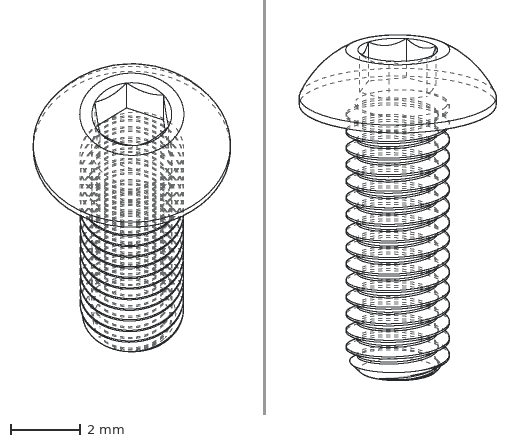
import cadquery as cq
import math

total_length = 9.65

head_radius = 5.7 / 2
head_height = 1.65
rim_height = 0.23
top_flat_radius = 1.51
dome_radius = 2.99

socket_width = 2.0
socket_depth = 1.18
socket_corner_radius = socket_width / math.sqrt(3)

shank_length = total_length - head_height
thread_turns = 16
pitch = shank_length / thread_turns
thread_radius = 1.5
crest_width = pitch / 8
root_width = pitch / 8
flank_slope = math.tan(math.radians(30))
thread_depth = (pitch - crest_width - root_width) / 2 / flank_slope
root_radius = thread_radius - thread_depth
tip_radius = 1.12
crest_above_tip = 0.415
overrun = 2 * pitch
trim_clearance = 0.29
ridge_embed = 0.02


def make_head():
    """Revolve a low cylindrical rim, a domed side and a flat top."""
    chord_x = top_flat_radius - head_radius
    chord_z = head_height - rim_height
    chord = math.hypot(chord_x, chord_z)
    sagitta = dome_radius - math.sqrt(dome_radius**2 - (chord / 2) ** 2)
    dome_middle = (
        (head_radius + top_flat_radius) / 2 + sagitta * chord_z / chord,
        (rim_height + head_height) / 2 - sagitta * chord_x / chord,
    )
    return (
        cq.Workplane("XZ")
        .lineTo(head_radius, 0)
        .lineTo(head_radius, rim_height)
        .threePointArc(dome_middle, (top_flat_radius, head_height))
        .lineTo(0, head_height)
        .close()
        .revolve(360, (0, 0, 0), (0, 1, 0))
    )


def make_socket():
    """Make the hexagonal recess and the 45 degree countersink at its mouth."""
    hexagon = (
        cq.Workplane("XY")
        .workplane(offset=head_height - socket_depth)
        .polygon(6, 2 * socket_corner_radius)
        .extrude(socket_depth)
        .rotate((0, 0, 0), (0, 0, 1), 30)
    )
    countersink = (
        cq.Workplane("XZ")
        .moveTo(0, head_height)
        .lineTo(socket_corner_radius, head_height)
        .lineTo(0, head_height - socket_corner_radius)
        .close()
        .revolve(360, (0, 0, 0), (0, 1, 0))
    )
    return hexagon.union(countersink)


def make_thread_ridge():
    """Sweep the thread profile along a helix that overruns both shank ends."""
    start_z = -shank_length + crest_above_tip - overrun
    helix = cq.Wire.makeHelix(pitch, shank_length + 2 * overrun, root_radius, cq.Vector(0, 0, start_z))
    base_radius = root_radius - ridge_embed
    half_crest = crest_width / 2
    half_base = half_crest + (thread_radius - base_radius) * flank_slope
    return (
        cq.Workplane("XZ")
        .moveTo(base_radius, start_z - half_base)
        .lineTo(thread_radius, start_z - half_crest)
        .lineTo(thread_radius, start_z + half_crest)
        .lineTo(base_radius, start_z + half_base)
        .close()
        .sweep(cq.Workplane(obj=helix), isFrenet=True)
    )


def make_shank():
    """Join core and ridge, then trim them to length with a chamfered tip."""
    core = cq.Workplane("XY").workplane(offset=-shank_length - overrun).circle(root_radius)
    core = core.extrude(shank_length + 2 * overrun)
    trim_radius = thread_radius + trim_clearance
    envelope = (
        cq.Workplane("XZ")
        .moveTo(0, -shank_length)
        .lineTo(tip_radius, -shank_length)
        .lineTo(trim_radius, -shank_length + trim_radius - tip_radius)
        .lineTo(trim_radius, 0)
        .lineTo(0, 0)
        .close()
        .revolve(360, (0, 0, 0), (0, 1, 0))
    )
    return core.union(make_thread_ridge()).intersect(envelope)


result = make_head().cut(make_socket()).union(make_shank())